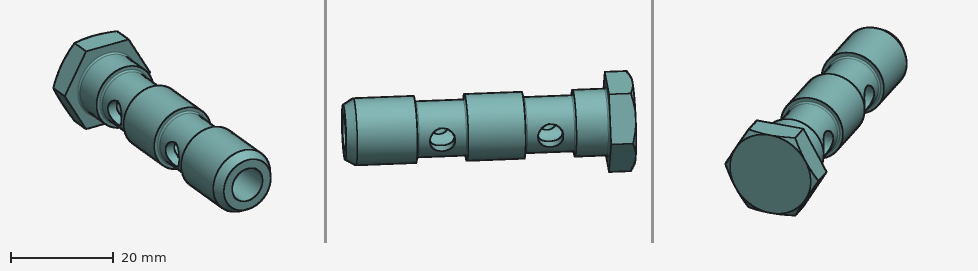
import cadquery as cq
import math

total_length = 56.5
head_height = 5.05
across_flats = 17.0
across_corners = across_flats / math.cos(math.radians(30))
head_chamfer_angle = 30.0

land_diameter = 13.1
thread_diameter = 13.15
groove_diameter = 11.0
groove_width = 9.95
groove_starts = (11.5, 32.7)
fillet_radius = 0.35

tip_length = 2.05
tip_angle = 30.0

cross_hole_diameter = 5.0
bore_diameter = 7.0
bore_end = groove_starts[0]


def cylinder(start, end, diameter):
    """Solid cylinder on the X axis between two axial positions."""
    return cq.Workplane("YZ").workplane(offset=start).circle(diameter / 2).extrude(end - start)


def make_head():
    """Hexagon with corners along Y, its outer face chamfered by a cone."""
    hexagon = cq.Workplane("YZ").polygon(6, across_corners).extrude(head_height)
    face_radius = across_flats / 2
    back_radius = face_radius + head_height / math.tan(math.radians(head_chamfer_angle))
    cone = (
        cq.Workplane("XY")
        .polyline([(0, 0), (0, face_radius), (head_height, back_radius), (head_height, 0)])
        .close()
        .revolve(360, (0, 0, 0), (1, 0, 0))
    )
    return hexagon.intersect(cone)


def make_shank():
    """Revolved shank with filleted inner corners and a chamfered tip."""
    land_radius = land_diameter / 2
    thread_radius = thread_diameter / 2
    groove_radius = groove_diameter / 2
    tip_radius = thread_radius - tip_length * math.tan(math.radians(tip_angle))
    arc_radius = -fillet_radius

    profile = (
        cq.Workplane("XY")
        .moveTo(head_height, 0)
        .lineTo(head_height, land_radius + fillet_radius)
        .radiusArc((head_height + fillet_radius, land_radius), arc_radius)
    )
    for start in groove_starts:
        end = start + groove_width
        outer_radius = thread_radius if start == groove_starts[-1] else land_radius
        profile = (
            profile.lineTo(start, land_radius)
            .lineTo(start, groove_radius + fillet_radius)
            .radiusArc((start + fillet_radius, groove_radius), arc_radius)
            .lineTo(end - fillet_radius, groove_radius)
            .radiusArc((end, groove_radius + fillet_radius), arc_radius)
            .lineTo(end, outer_radius)
        )
    profile = (
        profile.lineTo(total_length - tip_length, thread_radius)
        .lineTo(total_length, tip_radius)
        .lineTo(total_length, 0)
        .close()
    )
    return profile.revolve(360, (0, 0, 0), (1, 0, 0))


def make_cross_hole(groove_start):
    """Cutter along Y through the middle of a groove."""
    center = groove_start + groove_width / 2
    return (
        cq.Workplane("XZ")
        .center(center, 0)
        .circle(cross_hole_diameter / 2)
        .extrude(land_diameter, both=True)
    )


result = make_head().union(make_shank())
result = result.cut(cylinder(bore_end, total_length, bore_diameter))
for groove_start in groove_starts:
    result = result.cut(make_cross_hole(groove_start))